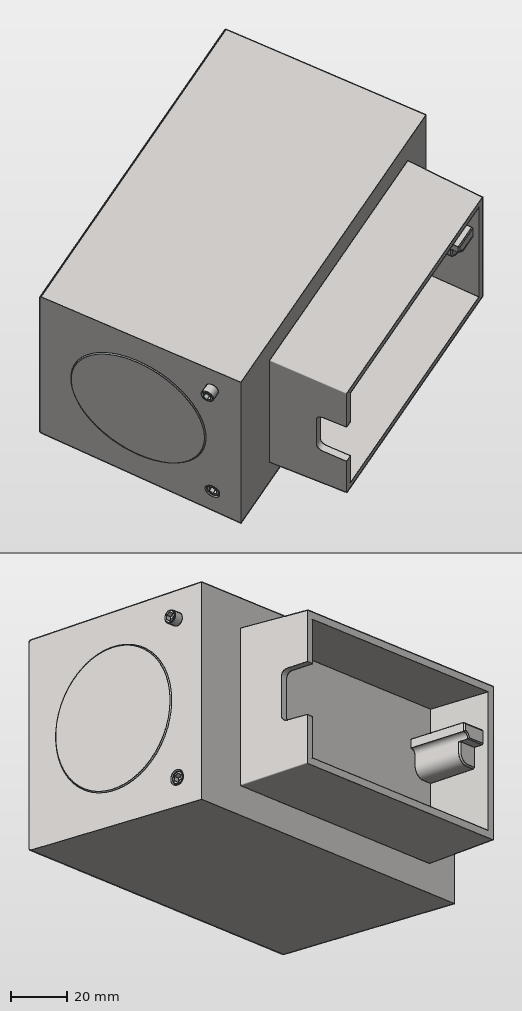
import cadquery as cq
import math

TOTAL_X = 112.4
TOTAL_Y = 140.0

HOUSING_LENGTH_X = 81.6
HOUSING_DEPTH = 136.1
HOUSING_HEIGHT = 82.9
NARROW_FACE_HEIGHT = 80.1
NARROW_EDGE_CHAMFER = 0.5

COVER_DIAMETER = 54.9
COVER_X = 40.0
COVER_PROUD = 0.4
COVER_RECESS = 2.8
COVER_CHAMFER = 0.4

SCREW_DIAMETER = 5.0
SCREW_LENGTH = 11.2
SCREW_CHAMFER = 0.3
SCREW_X = 70.0
SCREW_Z = 30.1
UPPER_SCREW_PROUD = TOTAL_Y - HOUSING_DEPTH
LOWER_SCREW_SUNK = 0.4
HOLE_CHAMFER = 0.4
SOCKET_FLATS = 3.0
SOCKET_DEPTH = 2.1

BASE_HEIGHT = TOTAL_X - HOUSING_LENGTH_X
BASE_FRONT_Y = 21.0
BASE_BACK_Y = 122.8
BASE_HALF_WIDTH = 30.1
BASE_TAPER = 0.8
BASE_WALL = 3.0
BASE_EDGE_FILLET = 0.4

NOTCH_START_X = 100.4
NOTCH_CENTRE_Z = -0.5
NOTCH_FLOOR_WIDTH = 19.6
NOTCH_RIM_WIDTH = 20.2
NOTCH_RADIUS = 2.7

BOSS_END_X = 105.7
BOSS_THICKNESS = 8.4
BOSS_BOTTOM_Z = -1.1
BOSS_RADIUS = 4.3
BOSS_END_CHAMFER = 0.5
SHELF_END_X = 109.9
SHELF_BOTTOM_Z = 7.0
SHELF_COVE_RADIUS = 2.2
SHELF_END_CHAMFER = 0.4
SHELF_TOP_Z = 12.6


def front_cylinder(x, z, diameter, front_y, length):
    """Cylinder along Y whose front end lies at front_y."""
    plane = cq.Workplane("XZ", origin=(x, front_y, z))
    return plane.circle(diameter / 2).extrude(-length)


def make_cover():
    cover = front_cylinder(COVER_X, 0, COVER_DIAMETER, -COVER_PROUD, COVER_PROUD + COVER_RECESS)
    return cover.faces("<Y").chamfer(COVER_CHAMFER)


def make_screw(z, front_y):
    screw = front_cylinder(SCREW_X, z, SCREW_DIAMETER, front_y, SCREW_LENGTH)
    screw = screw.faces("<Y").chamfer(SCREW_CHAMFER)
    socket_corners = SOCKET_FLATS / math.cos(math.pi / 6)
    socket = (
        cq.Workplane("XZ", origin=(SCREW_X, front_y, z))
        .transformed(rotate=(0, 0, 90))
        .polygon(6, socket_corners)
        .extrude(-SOCKET_DEPTH)
    )
    return screw.cut(socket)


def make_housing():
    half_narrow = NARROW_FACE_HEIGHT / 2
    half_wide = HOUSING_HEIGHT / 2
    outline = [
        (0, -half_narrow),
        (HOUSING_LENGTH_X, -half_wide),
        (HOUSING_LENGTH_X, half_wide),
        (0, half_narrow),
    ]
    body = cq.Workplane("XZ").polyline(outline).close().extrude(-HOUSING_DEPTH)
    body = body.faces("<X").edges("|Y").chamfer(NARROW_EDGE_CHAMFER)
    body = body.cut(front_cylinder(COVER_X, 0, COVER_DIAMETER, 0, COVER_RECESS))

    upper_depth = SCREW_LENGTH - UPPER_SCREW_PROUD
    body = body.cut(front_cylinder(SCREW_X, SCREW_Z, SCREW_DIAMETER, 0, upper_depth))
    lower_depth = SCREW_LENGTH + LOWER_SCREW_SUNK
    lower_hole = front_cylinder(SCREW_X, -SCREW_Z, SCREW_DIAMETER, 0, lower_depth)
    mouth = cq.Solid.makeCone(
        SCREW_DIAMETER / 2 + HOLE_CHAMFER,
        SCREW_DIAMETER / 2,
        HOLE_CHAMFER,
        pnt=cq.Vector(SCREW_X, 0, -SCREW_Z),
        dir=cq.Vector(0, 1, 0),
    )
    return body.cut(lower_hole).cut(mouth)


def base_block(inset, start_x):
    """Tapered block from start_x to the rim, with its sides set in by inset."""
    depth = BASE_BACK_Y - BASE_FRONT_Y - 2 * inset
    width = 2 * (BASE_HALF_WIDTH - inset)
    centre_y = (BASE_FRONT_Y + BASE_BACK_Y) / 2
    taper_angle = math.degrees(math.atan(BASE_TAPER / BASE_HEIGHT))
    plane = cq.Workplane("YZ", origin=(start_x, centre_y, 0))
    return plane.rect(depth, width).extrude(TOTAL_X - start_x, taper=taper_angle)


def make_base():
    floor_x = HOUSING_LENGTH_X + BASE_WALL
    outer = base_block(0, HOUSING_LENGTH_X).edges("not(<X or >X)").fillet(BASE_EDGE_FILLET)
    base = outer.cut(base_block(BASE_WALL, floor_x))

    cut_depth = 2 * (BASE_WALL + BASE_TAPER)
    half_floor = NOTCH_FLOOR_WIDTH / 2
    half_rim = NOTCH_RIM_WIDTH / 2
    notch = (
        cq.Workplane("XZ", origin=(0, BASE_FRONT_Y - BASE_TAPER, NOTCH_CENTRE_Z))
        .moveTo(NOTCH_START_X, -half_floor)
        .lineTo(TOTAL_X, -half_rim)
        .lineTo(TOTAL_X, half_rim)
        .lineTo(NOTCH_START_X, half_floor)
        .close()
        .extrude(-cut_depth)
        .edges("|Y and <X")
        .fillet(NOTCH_RADIUS)
    )
    base = base.cut(notch)

    wall_y = BASE_BACK_Y - BASE_WALL
    boss_y = wall_y - BOSS_THICKNESS
    boss = (
        cq.Workplane("XY")
        .box(
            BOSS_END_X - floor_x,
            BOSS_THICKNESS,
            SHELF_TOP_Z - BOSS_BOTTOM_Z,
            centered=False,
        )
        .translate((floor_x, boss_y, BOSS_BOTTOM_Z))
        .edges("|X and <Y and <Z")
        .fillet(BOSS_RADIUS)
        .faces(">X")
        .chamfer(BOSS_END_CHAMFER)
    )

    shelf = (
        cq.Workplane("YZ", origin=(floor_x, 0, 0))
        .moveTo(wall_y, SHELF_BOTTOM_Z)
        .lineTo(boss_y, SHELF_BOTTOM_Z)
        .radiusArc((boss_y - SHELF_COVE_RADIUS, SHELF_BOTTOM_Z + SHELF_COVE_RADIUS), -SHELF_COVE_RADIUS)
        .lineTo(boss_y - SHELF_COVE_RADIUS, SHELF_TOP_Z)
        .lineTo(wall_y, SHELF_TOP_Z)
        .close()
        .extrude(SHELF_END_X - floor_x)
        .faces(">X")
        .chamfer(SHELF_END_CHAMFER)
    )
    return base.union(boss).union(shelf)


housing = make_housing()
base = make_base()
cover = make_cover()
screws = [
    make_screw(z, front_y)
    for z, front_y in ((SCREW_Z, -UPPER_SCREW_PROUD), (-SCREW_Z, LOWER_SCREW_SUNK))
]

result = cq.Compound.makeCompound(
    [housing.val(), base.val(), cover.val(), *[screw.val() for screw in screws]]
)